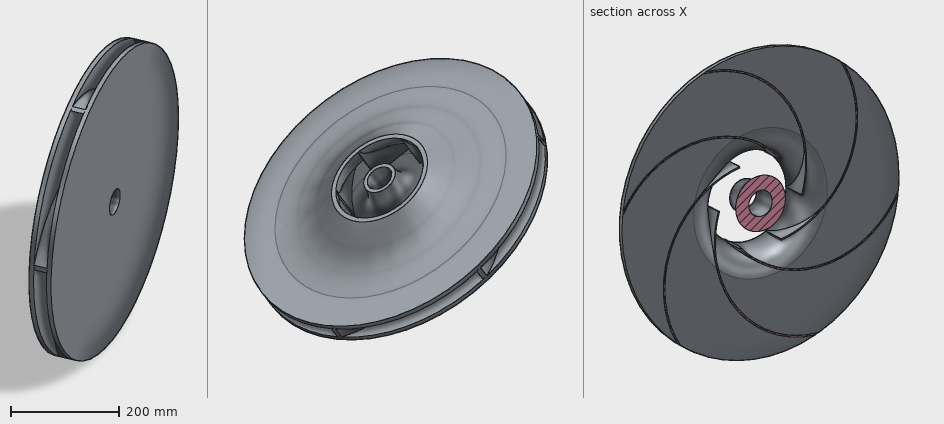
import cadquery as cq
import math

outer_radius = 302.0
total_width = 90.5
bore_radius = 50.0 / 2

eye_outer_radius = 99.0
eye_inner_radius = 90.0
flare_radius = 238.5
shroud_front = 46.0
shroud_back = 55.5
throat_end_radius = eye_inner_radius + shroud_back

plate_front = 81.5
hub_tip_radius = 32.5
hub_foot_radius = hub_tip_radius + plate_front

vane_count = 6
vane_thickness = 3.5
vane_inner_radius = 90.5
vane_wrap = 114.0
vane_exit_angle = 22.0
vane_end_angle = 54.0
tip_overrun = 3.0
rim_clearance = 6.0


def polar(radius, degrees, center=(0.0, 0.0)):
    angle = math.radians(degrees)
    return (center[0] + radius * math.cos(angle), center[1] + radius * math.sin(angle))


def flare_middle():
    """Middle of the arc from the eye rim, at x = 0, that meets the flat rim tangentially."""
    rise = flare_radius - eye_outer_radius
    arc_radius = (shroud_front**2 + rise**2) / (2 * shroud_front)
    half_angle = math.degrees(math.asin(rise / arc_radius)) / 2
    return polar(arc_radius, -half_angle, (shroud_front - arc_radius, flare_radius))


def revolve_about_x(profile):
    return profile.close().revolve(360, (0, 0, 0), (1, 0, 0))


def make_envelope():
    profile = (
        cq.Workplane("XY")
        .moveTo(0, bore_radius)
        .lineTo(0, eye_outer_radius)
        .threePointArc(flare_middle(), (shroud_front, flare_radius))
        .lineTo(shroud_front, outer_radius)
        .lineTo(total_width, outer_radius)
        .lineTo(total_width, bore_radius)
    )
    return revolve_about_x(profile)


def make_passage():
    """Flow space between the shroud and the hub with its back plate."""
    passage_radius = outer_radius + rim_clearance
    throat_middle = polar(shroud_back, -45, (0, throat_end_radius))
    hub_middle = polar(plate_front, -45, (0, hub_foot_radius))
    profile = (
        cq.Workplane("XY")
        .moveTo(0, hub_tip_radius)
        .lineTo(0, eye_inner_radius)
        .threePointArc(throat_middle, (shroud_back, throat_end_radius))
        .lineTo(shroud_back, passage_radius)
        .lineTo(plate_front, passage_radius)
        .lineTo(plate_front, hub_foot_radius)
        .threePointArc(hub_middle, (0, hub_tip_radius))
    )
    return revolve_about_x(profile)


def make_vane():
    """Vane whose outer end lies on +Y; it sweeps toward -Z on its way inward."""
    inner_y, inner_z = polar(vane_inner_radius, -vane_wrap)
    chord_y = inner_y - outer_radius
    chord = math.hypot(chord_y, inner_z)
    normal_angle = 180 - vane_exit_angle
    normal_y, normal_z = polar(1, normal_angle)
    arc_radius = chord**2 / (2 * (chord_y * normal_y + inner_z * normal_z))
    center = polar(arc_radius, normal_angle, (outer_radius, 0))
    start = -vane_exit_angle + tip_overrun
    end = math.degrees(math.atan2(inner_z - center[1], inner_y - center[0]))
    middle = (start + end) / 2
    convex = arc_radius + vane_thickness / 2
    concave = arc_radius - vane_thickness / 2
    return (
        cq.Workplane("YZ")
        .moveTo(*polar(convex, start, center))
        .threePointArc(polar(convex, middle, center), polar(convex, end, center))
        .lineTo(*polar(concave, end, center))
        .threePointArc(polar(concave, middle, center), polar(concave, start, center))
        .close()
        .extrude(total_width)
    )


passage = make_passage()
vane = make_vane()
for index in range(vane_count):
    turn = vane_end_angle + index * 360 / vane_count
    passage = passage.cut(vane.rotate((0, 0, 0), (1, 0, 0), turn))

result = make_envelope().cut(passage)